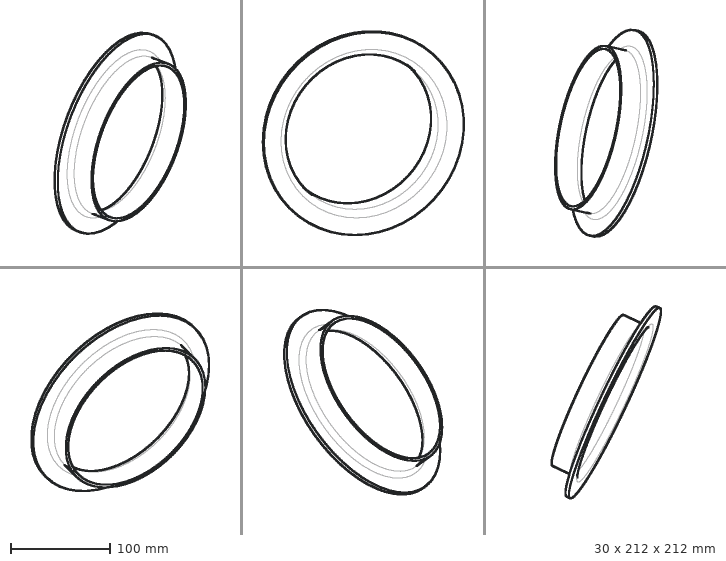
import cadquery as cq

flange_radius = 212.0 / 2
tube_radius = 168.3 / 2
bore_radius = 162.0 / 2
total_length = 30.0
flange_thickness = 4.0
bore_flare_radius = 7.0
outer_fillet_radius = 5.0

section = (
    cq.Workplane("XY")
    .moveTo(0, bore_radius + bore_flare_radius)
    .lineTo(0, flange_radius)
    .lineTo(flange_thickness, flange_radius)
    .lineTo(flange_thickness, tube_radius + outer_fillet_radius)
    .radiusArc((flange_thickness + outer_fillet_radius, tube_radius), -outer_fillet_radius)
    .lineTo(total_length, tube_radius)
    .lineTo(total_length, bore_radius)
    .lineTo(bore_flare_radius, bore_radius)
    .radiusArc((0, bore_radius + bore_flare_radius), bore_flare_radius)
    .close()
)

result = section.revolve(360, (0, 0, 0), (1, 0, 0))